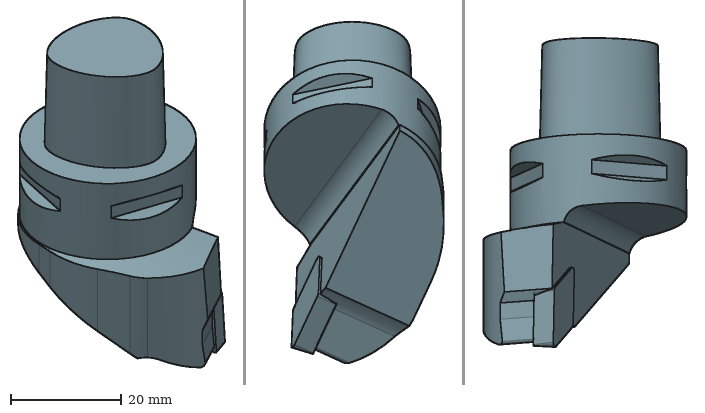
import cadquery as cq
import math


SHANK_HEIGHT = 18.95
SHANK_BASE_RADIUS = 11.0
SHANK_TOP_RADIUS = 10.5
LOBE_OFFSET = 0.7
SHANK_CURVE_POINTS = 48

COLLAR_RADIUS = 32.0 / 2
COLLAR_HEIGHT = 16.0
GROOVE_FLAT_DISTANCE = 14.15
GROOVE_FLAT_WIDTH = 2.55
GROOVE_Z = -6.0
GROOVE_SIDE_ANGLE = 30
GROOVE_COUNT = 4

FACE_Y = -0.5
CLEARANCE_EDGE_Z = -12.05
CLEARANCE_SLOPE = 5
CLEARANCE_RADIUS = 3.85

HEAD_LEFT_RADIUS = 16.3
HEAD_FRONT_Y = -18.2
LEFT_ARC_END_X = -9.3
FRONT_ARC_START_X = -6.8
FRONT_ARC_RADIUS = 17.2
FRONT_FLAT_START_X = 2.95
FRONT_FLAT_END_X = 9.0
RIGHT_ARC_RADIUS = 8.85
RIGHT_ARC_ANGLE = 21
FLANK_RADIUS = 18.3
HEAD_TOP_SLOPE = 15

HEAD_LEFT_Z = -17.75
UNDERSIDE_END = (10.5, -34.4)
RELIEF_ARC_MIDDLE = (12.05, -34.2)
RELIEF_ARC_END = (13.75, -34.65)
HEAD_TIP = (21.2, -39.1)
HEAD_TIP_RADIUS = 0.5
SIDE_RELIEF_BOTTOM = (20.7, -34.0)
SIDE_RELIEF_TOP = (20.7, -31.05)
SIDE_RELIEF_START = (21.4, -29.2)
RIGHT_FACE_TOP_X = 20.75

NOSE_RADIUS = 0.75
NOSE_CENTER = (21.25, -39.3)
CORNER_SPACING = 9.7
SIDE_EDGE_ANGLE = 93
LOWER_EDGE_ANGLE = SIDE_EDGE_ANGLE + 55
INSERT_THICKNESS = 4.15
INSERT_CLEARANCE_ANGLE = 7

REACH = 59


def sin(angle):
    return math.sin(math.radians(angle))


def cos(angle):
    return math.cos(math.radians(angle))


def tan(angle):
    return math.tan(math.radians(angle))


def lobed_point(radius, index):
    """Point on the three-lobed curve whose width is twice the radius everywhere."""
    t = 2 * math.pi * index / SHANK_CURVE_POINTS
    along_lobe = radius * math.cos(t) + LOBE_OFFSET * (2 * math.cos(2 * t) - math.cos(4 * t))
    across_lobe = radius * math.sin(t) - LOBE_OFFSET * (2 * math.sin(2 * t) + math.sin(4 * t))
    return (-across_lobe, along_lobe)


def lobed_outline(radius):
    return [lobed_point(radius, i) for i in range(SHANK_CURVE_POINTS)]


def make_shank():
    return (
        cq.Workplane("XY")
        .spline(lobed_outline(SHANK_BASE_RADIUS), periodic=True).close()
        .workplane(offset=SHANK_HEIGHT)
        .spline(lobed_outline(SHANK_TOP_RADIUS), periodic=True).close()
        .loft(ruled=True)
    )


def make_groove(angle):
    """Straight groove with a flat floor and flared sides, facing the given angle."""
    flat_half = GROOVE_FLAT_WIDTH / 2
    depth = 2 * (COLLAR_RADIUS - GROOVE_FLAT_DISTANCE)
    mouth_half = flat_half + depth * tan(GROOVE_SIDE_ANGLE)
    mouth_x = GROOVE_FLAT_DISTANCE + depth
    return (
        cq.Workplane("XZ")
        .polyline([
            (GROOVE_FLAT_DISTANCE, GROOVE_Z - flat_half),
            (mouth_x, GROOVE_Z - mouth_half),
            (mouth_x, GROOVE_Z + mouth_half),
            (GROOVE_FLAT_DISTANCE, GROOVE_Z + flat_half),
        ]).close()
        .extrude(COLLAR_RADIUS, both=True)
        .rotate((0, 0, 0), (0, 0, 1), angle)
    )


def make_collar():
    collar = cq.Workplane("XY").circle(COLLAR_RADIUS).extrude(-COLLAR_HEIGHT)
    step = 360 / GROOVE_COUNT
    for i in range(GROOVE_COUNT):
        collar = collar.cut(make_groove((i + 0.5) * step))
    return collar


def make_head_plan():
    """Vertical prism with the plan outline of the head, reaching past its right face."""
    left_half_angle = math.degrees(math.acos(-LEFT_ARC_END_X / HEAD_LEFT_RADIUS)) / 2
    left_end_y = -HEAD_LEFT_RADIUS * sin(2 * left_half_angle)
    left_start_x = -math.sqrt(HEAD_LEFT_RADIUS**2 - FACE_Y**2)
    left_middle = (-HEAD_LEFT_RADIUS * cos(left_half_angle), -HEAD_LEFT_RADIUS * sin(left_half_angle))

    front_arc_center_y = HEAD_FRONT_Y + FRONT_ARC_RADIUS
    front_run = FRONT_FLAT_START_X - FRONT_ARC_START_X
    front_angle = math.degrees(math.asin(front_run / FRONT_ARC_RADIUS))

    def front_arc(angle):
        return (
            FRONT_FLAT_START_X - FRONT_ARC_RADIUS * sin(angle),
            front_arc_center_y - FRONT_ARC_RADIUS * cos(angle),
        )

    def right_arc(angle):
        return (
            FRONT_FLAT_END_X + RIGHT_ARC_RADIUS * sin(angle),
            HEAD_FRONT_Y + RIGHT_ARC_RADIUS * (1 - cos(angle)),
        )

    flank_start = right_arc(RIGHT_ARC_ANGLE)

    def flank_arc(angle):
        return (
            flank_start[0] + FLANK_RADIUS * (sin(angle) - sin(RIGHT_ARC_ANGLE)),
            flank_start[1] + FLANK_RADIUS * (cos(RIGHT_ARC_ANGLE) - cos(angle)),
        )

    flank_end = flank_arc(90)
    flank_middle = flank_arc((RIGHT_ARC_ANGLE + 90) / 2)
    return (
        cq.Workplane("XY", origin=(0, 0, -COLLAR_HEIGHT))
        .moveTo(left_start_x, FACE_Y)
        .threePointArc(left_middle, (LEFT_ARC_END_X, left_end_y))
        .lineTo(*front_arc(front_angle))
        .threePointArc(front_arc(front_angle / 2), (FRONT_FLAT_START_X, HEAD_FRONT_Y))
        .lineTo(FRONT_FLAT_END_X, HEAD_FRONT_Y)
        .threePointArc(right_arc(RIGHT_ARC_ANGLE / 2), flank_start)
        .threePointArc(flank_middle, flank_end)
        .lineTo(flank_end[0], FACE_Y)
        .close()
        .extrude(-REACH)
    )


def make_head_side():
    """Prism along Y with the sloping underside and the right face of the head."""
    prism = (
        cq.Workplane("XZ")
        .moveTo(-HEAD_LEFT_RADIUS, -COLLAR_HEIGHT)
        .lineTo(-HEAD_LEFT_RADIUS, HEAD_LEFT_Z)
        .lineTo(*UNDERSIDE_END)
        .threePointArc(RELIEF_ARC_MIDDLE, RELIEF_ARC_END)
        .lineTo(*HEAD_TIP)
        .lineTo(*SIDE_RELIEF_BOTTOM)
        .lineTo(*SIDE_RELIEF_TOP)
        .lineTo(*SIDE_RELIEF_START)
        .lineTo(RIGHT_FACE_TOP_X, -COLLAR_HEIGHT)
        .close()
        .extrude(REACH, both=True)
    )
    tip = cq.selectors.NearestToPointSelector((HEAD_TIP[0], 0, HEAD_TIP[1]))
    return prism.edges(tip).fillet(HEAD_TIP_RADIUS)


def make_head_cone():
    """Cone about the tool axis that slopes the head down outside the collar."""
    drop = (REACH - COLLAR_RADIUS) * tan(HEAD_TOP_SLOPE)
    return (
        cq.Workplane("XZ")
        .polyline([
            (0, -COLLAR_HEIGHT),
            (COLLAR_RADIUS, -COLLAR_HEIGHT),
            (REACH, -COLLAR_HEIGHT - drop),
            (REACH, -REACH),
            (0, -REACH),
        ]).close()
        .revolve(360, (0, 0, 0), (0, 1, 0))
    )


def make_clearance():
    """Space behind the cutting face, rounded where it meets the collar's underside."""
    inner_z = CLEARANCE_EDGE_Z - (COLLAR_RADIUS - FACE_Y) * tan(CLEARANCE_SLOPE)
    outer_z = inner_z + (REACH - FACE_Y) * tan(CLEARANCE_SLOPE)
    return (
        cq.Workplane("YZ")
        .polyline([(FACE_Y, inner_z), (REACH, outer_z), (REACH, -REACH), (FACE_Y, -REACH)]).close()
        .extrude(REACH, both=True)
        .edges(cq.selectors.NearestToPointSelector((0, FACE_Y, inner_z)))
        .fillet(CLEARANCE_RADIUS)
    )


def make_insert():
    """Rhombic plate that narrows away from its cutting face."""
    x, z = NOSE_CENTER
    side = (CORNER_SPACING * cos(SIDE_EDGE_ANGLE), CORNER_SPACING * sin(SIDE_EDGE_ANGLE))
    lower = (CORNER_SPACING * cos(LOWER_EDGE_ANGLE), CORNER_SPACING * sin(LOWER_EDGE_ANGLE))
    corner_centers = [
        (x, z),
        (x + side[0], z + side[1]),
        (x + side[0] + lower[0], z + side[1] + lower[1]),
        (x + lower[0], z + lower[1]),
    ]
    return (
        cq.Workplane("XZ")
        .polyline(corner_centers).close()
        .offset2D(NOSE_RADIUS)
        .extrude(INSERT_THICKNESS, taper=INSERT_CLEARANCE_ANGLE)
    )


def make_holder(pocket):
    head = make_head_plan().intersect(make_head_side()).intersect(make_head_cone())
    neck = make_collar().cut(make_clearance())
    return make_shank().union(neck).union(head).cut(pocket)


insert = make_insert()
holder = make_holder(insert)

result = cq.Compound.makeCompound([holder.val(), insert.val()])